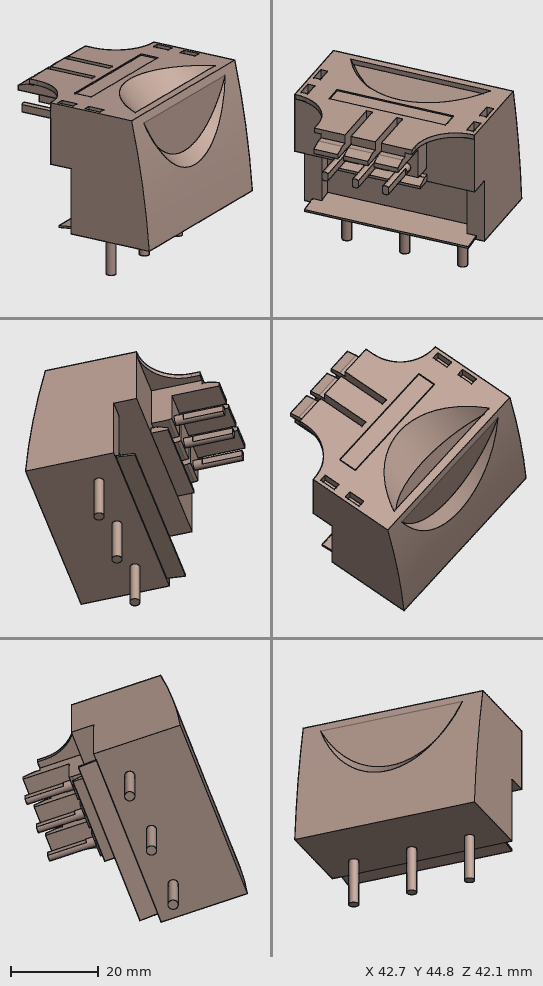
import cadquery as cq
import math

WIDTH = 44.8
HEIGHT = 30.9
UPPER_FRONT_X = 16.35
LOWER_FRONT_X = 21.77
STEP_Z = 15.9
BACK_TOP_X = 38.0
BACK_BOTTOM_X = 42.7
BACK_MID_X = 40.95

PLATE_FRONT_X = 4.4
PLATE_THICKNESS = 1.15
PLATE_HALF_WIDTH = 12.15
NOTCH_RADIUS = 9.95

FINGER_TIP_X = 0.3
FINGER_RAMP_X = 2.8
FINGER_TOP_Z = 28.75
FINGER_TIP_Z = 27.95
FINGER_BOTTOM_Z = 26.8
BLOCK_FRONT_X = 11.45
BLOCK_FRONT_Z = 19.5
BLOCK_REAR_Z = 19.3
BLOCK_RAMP_X = 12.3
FINGER_GROUP_WIDTH = 20.9
FINGER_SLOT_WIDTH = 1.5
FINGER_PITCH = 7.53

CONTACT_DIAMETER = 2.35
CONTACT_Z = 21.6
FLAT_LENGTH = 9.35
FLAT_THICKNESS = 1.52

LEDGE_TIP_X = 12.4
LEDGE_RAMP_X = 14.9
LEDGE_TOP_Z = 17.7
LEDGE_TIP_Z = 16.65
LEDGE_BOTTOM_Z = 16.05
LEDGE_WIDTH = 21.2

RECESS_WIDTH = 36.15
RECESS_DEPTH = 3.3
LIP_TIP_X = 17.35
LIP_WIDTH = 40.8
LIP_THICKNESS = 0.5
LIP_RISE = 0.55

TERMINAL_DIAMETER = 2.35
TERMINAL_X = 27.6
TERMINAL_PITCH = 14.43
TERMINAL_LENGTH = 11.15

LABEL_X = 20.05
LABEL_LENGTH = 4.5
LABEL_WIDTH = 29.0
LABEL_DEPTH = 0.3
VENT_CENTERS_X = (19.8, 26.95)
VENT_LENGTH = 4.0
VENT_WIDTH = 1.7
VENT_Y = 20.65
VENT_DEPTH = 2.25

GRIP_Y = -0.2
GRIP_RADIUS = 22.0
GRIP_TILT = 45.0
GRIP_RIM_X = 23.9
GRIP_WALL_LENGTH = 9.45
WEB_FRONT_X = 36.0
WEB_REAR_X = 38.45

OVERLAP = 0.45


def extrude_profile(points, width):
    """Extrude a closed XZ outline symmetrically about Y = 0."""
    return cq.Workplane("XZ").polyline(points).close().extrude(width / 2, both=True)


def box(x_min, x_max, y_center, y_size, z_min, z_max):
    size = (x_max - x_min, y_size, z_max - z_min)
    return cq.Workplane("XY").box(*size, centered=(False, True, False)).translate((x_min, y_center, z_min))


def make_housing():
    return (
        cq.Workplane("XZ")
        .moveTo(LOWER_FRONT_X, 0)
        .lineTo(BACK_BOTTOM_X, 0)
        .threePointArc((BACK_MID_X, HEIGHT / 2), (BACK_TOP_X, HEIGHT))
        .lineTo(UPPER_FRONT_X, HEIGHT)
        .lineTo(UPPER_FRONT_X, STEP_Z)
        .lineTo(LOWER_FRONT_X, STEP_Z)
        .close()
        .extrude(WIDTH / 2, both=True)
    )


def make_cover_plate():
    rear_x = UPPER_FRONT_X + OVERLAP
    full_half_width = PLATE_HALF_WIDTH + NOTCH_RADIUS
    plate = box(PLATE_FRONT_X, rear_x, 0, 2 * full_half_width, HEIGHT - PLATE_THICKNESS, HEIGHT)
    arc_start_x = UPPER_FRONT_X - NOTCH_RADIUS
    for side in (-1, 1):
        notch_y = side * full_half_width
        round_notch = (
            cq.Workplane("XY")
            .center(arc_start_x, notch_y)
            .circle(NOTCH_RADIUS)
            .extrude(HEIGHT)
        )
        straight_notch = box(0, arc_start_x, notch_y, 2 * NOTCH_RADIUS, 0, HEIGHT)
        plate = plate.cut(round_notch).cut(straight_notch)
    return plate


def make_fingers():
    rear_x = UPPER_FRONT_X + OVERLAP
    return extrude_profile(
        [
            (FINGER_TIP_X, FINGER_BOTTOM_Z),
            (FINGER_TIP_X, FINGER_TIP_Z),
            (FINGER_RAMP_X, FINGER_TOP_Z),
            (PLATE_FRONT_X, FINGER_TOP_Z),
            (PLATE_FRONT_X, HEIGHT),
            (rear_x, HEIGHT),
            (rear_x, BLOCK_REAR_Z),
            (BLOCK_RAMP_X, BLOCK_REAR_Z),
            (BLOCK_FRONT_X, BLOCK_FRONT_Z),
            (BLOCK_FRONT_X, FINGER_BOTTOM_Z),
        ],
        FINGER_GROUP_WIDTH,
    )


def make_finger_slots():
    slots = cq.Workplane("XY")
    for side in (-1, 1):
        slot_y = side * FINGER_PITCH / 2
        slots = slots.add(box(0, UPPER_FRONT_X, slot_y, FINGER_SLOT_WIDTH, BLOCK_REAR_Z, HEIGHT))
    return slots.combine()


def make_contact_pin(pin_y):
    pin = (
        cq.Workplane("YZ")
        .center(pin_y, CONTACT_Z)
        .circle(CONTACT_DIAMETER / 2)
        .extrude(UPPER_FRONT_X)
    )
    flat_bottom = CONTACT_Z - CONTACT_DIAMETER / 2
    flat_top = CONTACT_Z + CONTACT_DIAMETER / 2
    flat_part = box(0, FLAT_LENGTH, pin_y, FLAT_THICKNESS, flat_bottom, flat_top)
    round_part = box(FLAT_LENGTH, UPPER_FRONT_X, pin_y, CONTACT_DIAMETER, flat_bottom, flat_top)
    return pin.intersect(flat_part.union(round_part))


def make_ledge():
    rear_x = UPPER_FRONT_X + OVERLAP
    return extrude_profile(
        [
            (LEDGE_TIP_X, LEDGE_BOTTOM_Z),
            (LEDGE_TIP_X, LEDGE_TIP_Z),
            (LEDGE_RAMP_X, LEDGE_TOP_Z),
            (rear_x, LEDGE_TOP_Z),
            (rear_x, LEDGE_BOTTOM_Z),
        ],
        LEDGE_WIDTH,
    )


def lip_top_z(x):
    slope = LIP_RISE / (LOWER_FRONT_X - LIP_TIP_X)
    return LIP_THICKNESS + slope * (x - LIP_TIP_X)


def make_front_recess():
    """Recess whose floor continues the sloping top of the lip."""
    back_x = LOWER_FRONT_X + RECESS_DEPTH
    return extrude_profile(
        [
            (LOWER_FRONT_X, lip_top_z(LOWER_FRONT_X)),
            (LOWER_FRONT_X, STEP_Z),
            (back_x, STEP_Z),
            (back_x, lip_top_z(back_x)),
        ],
        RECESS_WIDTH,
    )


def make_lip():
    return extrude_profile(
        [
            (LIP_TIP_X, 0),
            (LIP_TIP_X, LIP_THICKNESS),
            (LOWER_FRONT_X, lip_top_z(LOWER_FRONT_X)),
            (LOWER_FRONT_X, lip_top_z(LOWER_FRONT_X) - LIP_THICKNESS),
        ],
        LIP_WIDTH,
    )


def make_terminal_pin(pin_y):
    return (
        cq.Workplane("XY", origin=(TERMINAL_X, pin_y, -TERMINAL_LENGTH))
        .circle(TERMINAL_DIAMETER / 2)
        .extrude(TERMINAL_LENGTH + OVERLAP)
    )


def make_top_pockets():
    label_front_x = LABEL_X - LABEL_LENGTH / 2
    label_rear_x = LABEL_X + LABEL_LENGTH / 2
    pockets = box(label_front_x, label_rear_x, 0, LABEL_WIDTH, HEIGHT - LABEL_DEPTH, HEIGHT)
    vents = (
        cq.Workplane("XY", origin=(0, 0, HEIGHT - VENT_DEPTH))
        .pushPoints([(x, side * VENT_Y) for x in VENT_CENTERS_X for side in (-1, 1)])
        .rect(VENT_LENGTH, VENT_WIDTH)
        .extrude(VENT_DEPTH)
    )
    return pockets.union(vents)


def make_grips():
    tilt = math.radians(GRIP_TILT)
    axis = cq.Vector(-math.sin(tilt), 0, math.cos(tilt))
    across = cq.Vector(math.cos(tilt), 0, math.sin(tilt))
    rim = cq.Vector(GRIP_RIM_X, GRIP_Y, HEIGHT)
    end_center = rim - axis * GRIP_WALL_LENGTH + across * GRIP_RADIUS
    end_plane = cq.Plane(origin=end_center, xDir=across, normal=axis)
    reach = 2 * GRIP_RADIUS
    in_front_of_web = box(GRIP_RIM_X, WEB_FRONT_X, GRIP_Y, reach, 0, HEIGHT)
    behind_web = box(WEB_REAR_X, BACK_BOTTOM_X, GRIP_Y, reach, 0, HEIGHT)
    upper_part = cq.Workplane(end_plane).circle(GRIP_RADIUS).extrude(reach)
    lower_part = cq.Workplane(end_plane).circle(GRIP_RADIUS).extrude(-reach)
    return upper_part.intersect(in_front_of_web).union(lower_part.intersect(behind_web))


result = make_housing().union(make_cover_plate()).union(make_fingers())
result = result.cut(make_finger_slots()).union(make_ledge())
result = result.cut(make_front_recess()).union(make_lip())
result = result.cut(make_top_pockets()).cut(make_grips())
for position in (-1, 0, 1):
    result = result.union(make_contact_pin(position * FINGER_PITCH))
    result = result.union(make_terminal_pin(position * TERMINAL_PITCH))